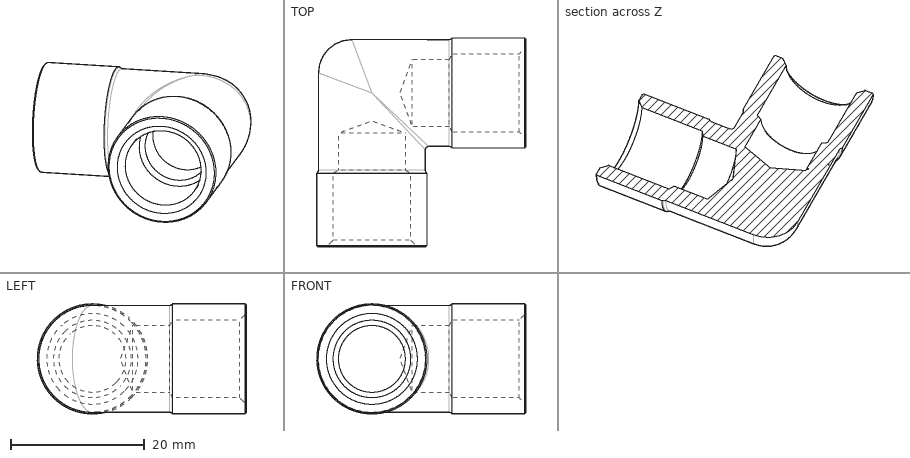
import cadquery as cq
import math

END_DISTANCE = 23.0
TUBE_RADIUS = 8.0
OUTER_BEND_RADIUS = 5.0
INNER_BEND_RADIUS = 0.5

COLLAR_RADIUS = 8.25
COLLAR_LENGTH = 11.0
COLLAR_EDGE_CHAMFER = 0.1
COLLAR_ROOT_LENGTH = 0.4
END_CHAMFER = 0.2

MOUTH_RADIUS = 6.8
SOCKET_RADIUS = 5.8
SOCKET_LENGTH = COLLAR_LENGTH
STEP_ANGLE = 120.0
BORE_RADIUS = 5.0
BORE_END = 6.0
TIP_ANGLE = 140.0

OUTWARD = cq.Vector(-1, 1, 0)
INWARD = cq.Vector(1, -1, 0)
ACROSS = cq.Vector(1, 1, 0)

OUTER_SPINE_RADIUS = TUBE_RADIUS - OUTER_BEND_RADIUS
INNER_SPINE_RADIUS = TUBE_RADIUS + INNER_BEND_RADIUS

OUTER_CONTACT = cq.Vector(-TUBE_RADIUS, OUTER_SPINE_RADIUS, 0).normalized()
INNER_CONTACT = cq.Vector(TUBE_RADIUS, -INNER_SPINE_RADIUS, 0).normalized()

REACH = 2 * END_DISTANCE


def mirror_about_mitre(leg):
    """Mirror a body of the -Y leg into the matching body of the +X leg."""
    return cq.Workplane(leg.val().mirror(ACROSS))


def upright_prism(points):
    """Prism over an XY outline, reaching beyond the part above and below."""
    return cq.Workplane("XY").polyline(points).close().extrude(REACH, both=True)


def contact_wedge(contact):
    """Wedge at the corner between a contact line and its mirror image."""
    far = contact * REACH
    return upright_prism([(0, 0), (far.x, far.y), (-far.y, -far.x)])


def half_spine(direction, radius):
    """Half ellipse in the mitre plane where two cylinders of this radius meet, bottom to top."""
    plane = cq.Plane(origin=(0, 0, 0), xDir=direction, normal=ACROSS)
    vertex_distance = math.sqrt(2) * radius
    return cq.Workplane(plane).ellipseArc(vertex_distance, radius, -90, 90, startAtCurrent=False)


def spine_slab(direction, radius):
    """Region enclosed by a half spine, thickened to both sides of the mitre plane."""
    return half_spine(direction, radius).close().extrude(TUBE_RADIUS, both=True)


def spine_start(direction, radius):
    """Workplane square to the lower end of a half spine, local x lying across the mitre."""
    return cq.Workplane(cq.Plane(origin=(0, 0, -radius), xDir=ACROSS, normal=direction))


def make_outer_corner():
    """Outside of the bend, rounded as by a ball rolling inside both tubes."""
    overlap = OUTER_BEND_RADIUS / 5
    profile = (
        spine_start(OUTWARD, OUTER_SPINE_RADIUS)
        .moveTo(-OUTER_BEND_RADIUS, 0)
        .threePointArc((0, OUTER_BEND_RADIUS), (OUTER_BEND_RADIUS, 0))
        .lineTo(OUTER_BEND_RADIUS, -overlap)
        .lineTo(-OUTER_BEND_RADIUS, -overlap)
        .close()
    )
    rounding = profile.sweep(half_spine(OUTWARD, OUTER_SPINE_RADIUS))
    core = spine_slab(OUTWARD, OUTER_SPINE_RADIUS)
    return core.union(rounding).intersect(contact_wedge(OUTER_CONTACT))


def make_inner_corner():
    """Inside of the bend, hollowed as by a ball rolling against both tubes."""
    profile = spine_start(INWARD, INNER_SPINE_RADIUS).circle(INNER_BEND_RADIUS)
    groove = profile.sweep(half_spine(INWARD, INNER_SPINE_RADIUS))
    blank = spine_slab(INWARD, INNER_SPINE_RADIUS).intersect(contact_wedge(INNER_CONTACT))
    return blank.cut(groove)


def revolve_profile(profile):
    """Revolve a closed (y, radius) profile about the Y axis."""
    return profile.close().revolve(360, (0, 0, 0), (1, 0, 0))


def make_leg():
    """Solid -Y leg: tube and collar, trimmed along the contact lines at the corner."""
    collar_start = COLLAR_LENGTH - END_DISTANCE
    root_end = collar_start + COLLAR_EDGE_CHAMFER
    profile = (
        cq.Workplane("YZ")
        .moveTo(END_DISTANCE, 0)
        .lineTo(END_DISTANCE, TUBE_RADIUS)
        .lineTo(root_end + COLLAR_ROOT_LENGTH, TUBE_RADIUS)
        .tangentArcPoint((root_end, COLLAR_RADIUS - COLLAR_EDGE_CHAMFER), relative=False)
        .lineTo(collar_start, COLLAR_RADIUS)
        .lineTo(END_CHAMFER - END_DISTANCE, COLLAR_RADIUS)
        .lineTo(-END_DISTANCE, COLLAR_RADIUS - END_CHAMFER)
        .lineTo(-END_DISTANCE, 0)
    )
    outer = OUTER_CONTACT * REACH
    inner = INNER_CONTACT * REACH
    trim = upright_prism([(0, 0), (outer.x, outer.y), (outer.x, inner.y), (inner.x, inner.y)])
    return revolve_profile(profile).intersect(trim)


def cone_length(radius_change, full_angle):
    """Axial length of a cone over a given change of radius."""
    return radius_change / math.tan(math.radians(full_angle / 2))


def make_bore():
    """Blind bore of the -Y leg: flared mouth, socket, conical step, bore and conical bottom."""
    mouth_length = MOUTH_RADIUS - SOCKET_RADIUS
    step_start = SOCKET_LENGTH - END_DISTANCE
    step_end = step_start + cone_length(SOCKET_RADIUS - BORE_RADIUS, STEP_ANGLE)
    tip = cone_length(BORE_RADIUS, TIP_ANGLE) - BORE_END
    points = [
        (-END_DISTANCE, 0),
        (-END_DISTANCE, MOUTH_RADIUS),
        (mouth_length - END_DISTANCE, SOCKET_RADIUS),
        (step_start, SOCKET_RADIUS),
        (step_end, BORE_RADIUS),
        (-BORE_END, BORE_RADIUS),
        (tip, 0),
    ]
    return revolve_profile(cq.Workplane("YZ").polyline(points))


leg = make_leg()
bore = make_bore()
elbow = leg.union(mirror_about_mitre(leg)).union(make_outer_corner()).union(make_inner_corner())
result = elbow.cut(bore).cut(mirror_about_mitre(bore))